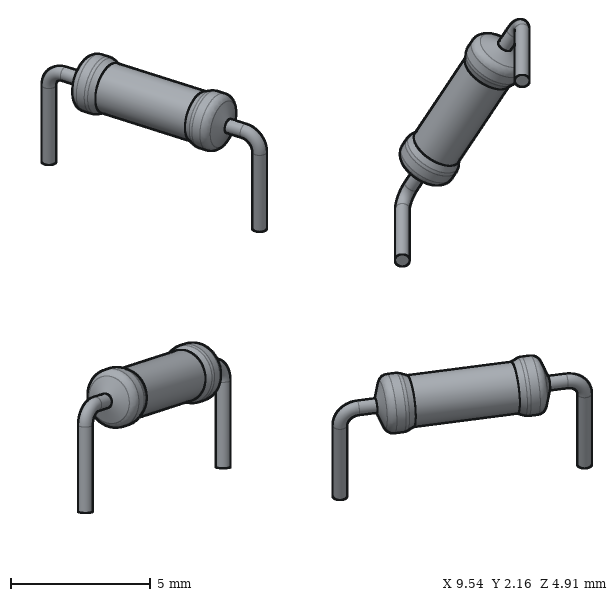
import cadquery as cq


wire_diameter = 0.54
lead_pitch = 9.0
bend_radius = 0.66
lead_drop = 3.83

cap_diameter = 2.16
barrel_diameter = 1.89
body_length = 6.36
cap_corner_x = 2.865
shoulder_corner_x = 2.232
barrel_end_x = 1.915
cap_fillet = 0.33

wire_radius = wire_diameter / 2
cap_radius = cap_diameter / 2
barrel_radius = barrel_diameter / 2
body_end_x = body_length / 2
lead_x = lead_pitch / 2


def make_body():
    """Revolve the dog-bone profile about X and round both corners of each cap."""
    right_profile = [
        (barrel_end_x, barrel_radius),
        (shoulder_corner_x, cap_radius),
        (cap_corner_x, cap_radius),
        (body_end_x, wire_radius),
        (body_end_x, 0),
    ]
    left_profile = [(-x, r) for x, r in reversed(right_profile)]
    body = (
        cq.Workplane("XY")
        .polyline(left_profile + right_profile)
        .close()
        .revolve(360, (0, 0, 0), (1, 0, 0))
    )
    cap_edges = cq.selectors.RadiusNthSelector(-1)
    return body.edges(cap_edges).fillet(cap_fillet)


def make_leads():
    """Sweep one continuous wire through the body, with a bend at each end."""
    bend_start_x = lead_x - bend_radius
    path = (
        cq.Workplane("XZ")
        .moveTo(-lead_x, -lead_drop)
        .lineTo(-lead_x, -bend_radius)
        .tangentArcPoint((-bend_start_x, 0), relative=False)
        .lineTo(bend_start_x, 0)
        .tangentArcPoint((lead_x, -bend_radius), relative=False)
        .lineTo(lead_x, -lead_drop)
    )
    return (
        cq.Workplane("XY", origin=(-lead_x, 0, -lead_drop))
        .circle(wire_radius)
        .sweep(path)
    )


result = make_body().union(make_leads())